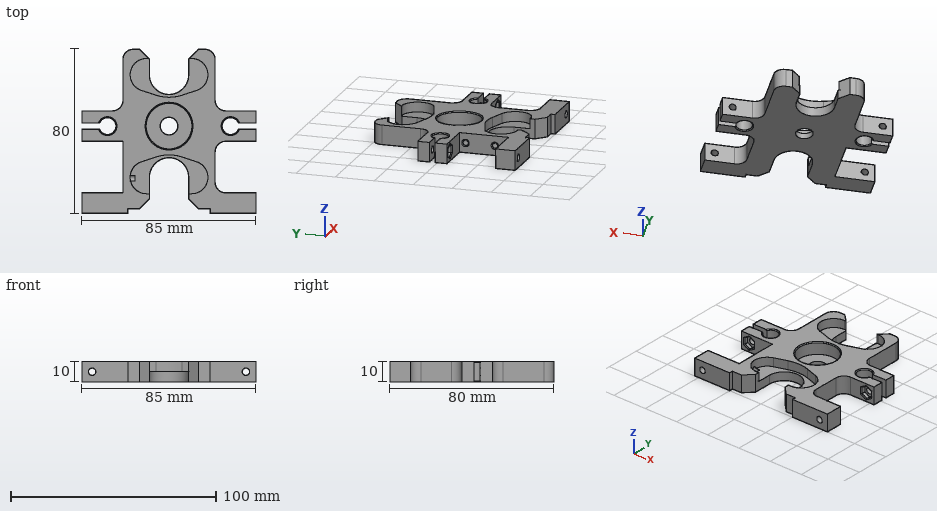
import cadquery as cq
import math

width = 85.0
thickness = 10.0
rear_y = 37.5
front_y = -42.5
mid_z = thickness / 2
chamfer_angle = 45

body_half_width = 22.5
arm_half_depth = 7.5
foot_depth = 10.0
corner_radius = 5.0
foot_back_y = front_y + foot_depth
step_half_width = 20.1
step_depth = 2.1

slot_center_y = 25.0
slot_radius = 9.5
mouth_chamfer = 4.85

pocket_depth = mid_z
pocket_end_x = 11.0
pocket_end_radius = 8.0
pocket_middle_radius = 20.0
pocket_inner_reach = 11.0

bore_diameter = 22.3
bore_depth = 7.0
bore_chamfer = 0.5
hub_hole_diameter = 8.5

clamp_x = 30.0
clamp_diameter = 8.2
clamp_chamfer = 0.5
slit_width = 3.0

screw_x = 37.5
screw_diameter = 3.5
nut_sides = 6
nut_across_flats = 5.95
nut_depth = 2.5
nut_chamfer = 0.5

side_hole_ys = (-10.45, -25.5)
side_hole_diameter = 2.7
side_hole_depth = 6.0
side_hole_chamfer = 0.5


def block(x_min, x_max, y_min, y_max):
    """Full-thickness rectangular block."""
    size_x = x_max - x_min
    size_y = y_max - y_min
    return cq.Workplane("XY").box(size_x, size_y, thickness, centered=False).translate((x_min, y_min, 0))


def make_plate():
    """Body with two side arms and two feet, with rounded corners."""
    plate = block(-body_half_width, body_half_width, front_y, rear_y)
    plate = plate.union(block(-width / 2, width / 2, -arm_half_depth, arm_half_depth))
    plate = plate.union(block(-width / 2, width / 2, front_y, foot_back_y))
    plate = plate.cut(block(-step_half_width, step_half_width, front_y, front_y + step_depth))
    rounded_corners = (
        (-body_half_width, rear_y),
        (body_half_width, rear_y),
        (-body_half_width, arm_half_depth),
        (body_half_width, arm_half_depth),
        (body_half_width, -arm_half_depth),
        (body_half_width, foot_back_y),
    )
    for x, y in rounded_corners:
        corner = cq.selectors.NearestToPointSelector((x, y, mid_z))
        plate = plate.edges("|Z").edges(corner).fillet(corner_radius)
    return plate


def make_slot(mouth_y):
    """Round-bottomed slot running out to mouth_y, with a flared mouth."""
    outward = math.copysign(1, mouth_y)
    center_y = outward * slot_center_y
    flare_y = mouth_y - outward * mouth_chamfer
    flare_x = slot_radius + mouth_chamfer
    return (
        cq.Workplane("XY")
        .moveTo(-slot_radius, center_y)
        .lineTo(-slot_radius, flare_y)
        .lineTo(-flare_x, mouth_y)
        .lineTo(flare_x, mouth_y)
        .lineTo(slot_radius, flare_y)
        .lineTo(slot_radius, center_y)
        .threePointArc((0, center_y - outward * slot_radius), (-slot_radius, center_y))
        .close()
        .extrude(thickness)
    )


def make_rear_pocket():
    """Pocket with round ends, joined on the hub side by tangent lines to a wide arc."""
    middle_offset = pocket_middle_radius - pocket_inner_reach
    center_distance = math.hypot(pocket_end_x, middle_offset)
    radius_difference = pocket_middle_radius - pocket_end_radius
    center_line_angle = math.atan2(pocket_end_x, middle_offset)
    tangent_angle = center_line_angle - math.acos(radius_difference / center_distance)
    sine = math.sin(tangent_angle)
    cosine = math.cos(tangent_angle)

    middle_x = pocket_middle_radius * sine
    middle_y = slot_center_y + middle_offset - pocket_middle_radius * cosine
    end_x = pocket_end_x + pocket_end_radius * sine
    end_y = slot_center_y - pocket_end_radius * cosine
    outer_x = pocket_end_x + pocket_end_radius
    outer_y = slot_center_y + pocket_end_radius
    return (
        cq.Workplane("XY", origin=(0, 0, thickness - pocket_depth))
        .moveTo(-middle_x, middle_y)
        .threePointArc((0, slot_center_y - pocket_inner_reach), (middle_x, middle_y))
        .lineTo(end_x, end_y)
        .threePointArc((outer_x, slot_center_y), (pocket_end_x, outer_y))
        .lineTo(-pocket_end_x, outer_y)
        .threePointArc((-outer_x, slot_center_y), (-end_x, end_y))
        .close()
        .extrude(pocket_depth)
    )


def make_hub_bore():
    """Chamfered counterbore with a smaller through hole."""
    mouth = cq.Workplane("XY", origin=(0, 0, thickness))
    bore = mouth.circle(bore_diameter / 2).extrude(-bore_depth)
    rim = mouth.circle(bore_diameter / 2 + bore_chamfer).extrude(-bore_chamfer, taper=chamfer_angle)
    hole = cq.Workplane("XY").circle(hub_hole_diameter / 2).extrude(thickness)
    return bore.union(rim).union(hole)


def make_clamp(side):
    """Rod hole chamfered at both ends, with a slit to the arm's end; side is -1 or 1."""
    center_x = side * clamp_x
    rim_radius = clamp_diameter / 2 + clamp_chamfer
    bottom = cq.Workplane("XY", origin=(center_x, 0, 0))
    hole = bottom.circle(clamp_diameter / 2).extrude(thickness)
    lower_rim = bottom.circle(rim_radius).extrude(clamp_chamfer, taper=chamfer_angle)
    upper_rim = lower_rim.mirror("XY", (0, 0, mid_z))
    slit_start, slit_end = sorted((center_x, side * width / 2))
    slit = block(slit_start, slit_end, -slit_width / 2, slit_width / 2)
    return hole.union(lower_rim).union(upper_rim).union(slit)


def make_screw_hole(side):
    """Screw hole through foot and arm, with a chamfered hexagonal nut pocket in the arm's front face."""
    screw_length = arm_half_depth - front_y
    screw_start = cq.Workplane("XZ", origin=(side * screw_x, front_y, mid_z))
    hole = screw_start.circle(screw_diameter / 2).extrude(-screw_length)
    nut_mouth = cq.Workplane("XZ", origin=(side * screw_x, -arm_half_depth, mid_z))
    nut = nut_mouth.polygon(nut_sides, nut_across_flats, circumscribed=True).extrude(-nut_depth)
    mouth_width = nut_across_flats + 2 * nut_chamfer
    rim_outline = nut_mouth.polygon(nut_sides, mouth_width, circumscribed=True)
    rim = rim_outline.extrude(-nut_chamfer, taper=chamfer_angle)
    return hole.union(nut).union(rim)


def make_side_hole(y):
    """Blind hole into the left side of the body, with a chamfered mouth."""
    mouth = cq.Workplane("YZ", origin=(-body_half_width, y, mid_z))
    hole = mouth.circle(side_hole_diameter / 2).extrude(side_hole_depth)
    rim_radius = side_hole_diameter / 2 + side_hole_chamfer
    rim = mouth.circle(rim_radius).extrude(side_hole_chamfer, taper=chamfer_angle)
    return hole.union(rim)


rear_pocket = make_rear_pocket()

result = make_plate()
result = result.cut(make_slot(rear_y))
result = result.cut(make_slot(front_y + step_depth))
result = result.cut(rear_pocket)
result = result.cut(rear_pocket.mirror("XZ"))
result = result.cut(make_hub_bore())
for arm_side in (-1, 1):
    result = result.cut(make_clamp(arm_side))
    result = result.cut(make_screw_hole(arm_side))
for hole_y in side_hole_ys:
    result = result.cut(make_side_hole(hole_y))